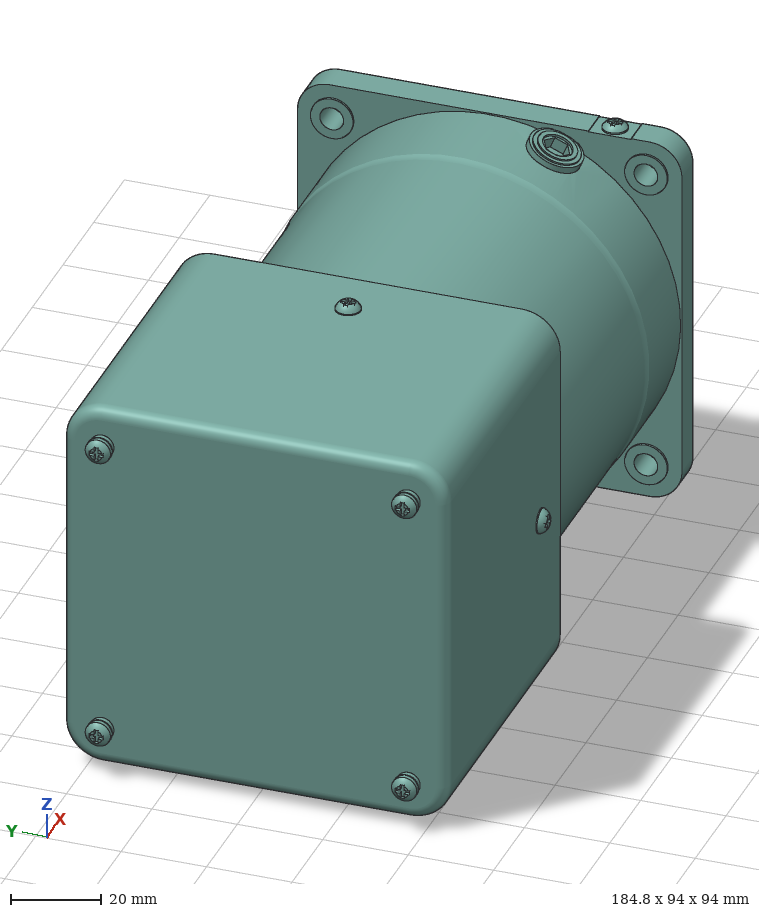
import cadquery as cq
import math

overall_length = 184.8
frame_size = 90.0

box_start = 4.0
box_end = 77.5
box_corner_radius = 9.0
box_edge_radius = 2.8

body_diameter = 88.7
body_end = 134.4
gear_case_diameter = 89.5
gear_case_start = 136.5

flange_start = 156.5
flange_end = 163.8
flange_middle = (flange_start + flange_end) / 2
flange_corner_radius = 7.5
flange_hole_diameter = 5.5
flange_hole_offset = 36.8
spot_boss_diameter = 10.0
spot_boss_height = 0.5
boss_face = flange_start - spot_boss_height

pilot_diameter = 83.0
pilot_end = 165.8
shaft_diameter = 11.5

head_diameter = 6.0
side_head_height = 2.0
low_head_height = 1.7
head_rim_height = 0.4
head_flat_diameter = 3.0
cross_length = 3.3
cross_width = 1.0
cross_depth = 1.0
embed = 1.0

end_screw_offset = 35.9
washer_diameter = 5.5
washer_height = box_start - low_head_height
side_screw_x = 64.5
side_screw_seat = 45.0

terminal_y = -28.1
terminal_width = 10.0
terminal_depth = 0.2

plug_x = 151.0
plug_tilt = 22.5
plug_collar_diameter = 13.0
plug_collar_top = 46.2
plug_rim_diameter = 11.5
plug_rim_top = 46.5
plug_ring_diameter = 9.5
plug_ring_top = 47.0
plug_mouth_diameter = 7.2
plug_mouth_depth = 0.5
plug_socket_diameter = 6.5
plug_socket_depth = 3.3
plug_root = 38.8


def cylinder_x(diameter, start, end):
    return cq.Workplane("YZ", origin=(start, 0, 0)).circle(diameter / 2).extrude(end - start)


def square_block(start, end, corner_radius):
    block = cq.Workplane("YZ", origin=(start, 0, 0)).rect(frame_size, frame_size).extrude(end - start)
    return block.edges("|X").fillet(corner_radius)


def cylinder_z(diameter, bottom, top):
    return cq.Workplane("XY", origin=(0, 0, bottom)).circle(diameter / 2).extrude(top - bottom)


def screw_head(height):
    """Domed head standing on Z = 0 with a cross recess in its flat top."""
    rim_radius = head_diameter / 2
    flat_radius = head_flat_diameter / 2
    dome_centre = (flat_radius**2 + height**2 - rim_radius**2 - head_rim_height**2) / (
        2 * (height - head_rim_height)
    )
    dome_radius = math.hypot(rim_radius, head_rim_height - dome_centre)
    mid_height = (head_rim_height + height) / 2
    mid_radius = math.sqrt(dome_radius**2 - (mid_height - dome_centre) ** 2)
    head = (
        cq.Workplane("XZ")
        .moveTo(0, -embed)
        .lineTo(rim_radius, -embed)
        .lineTo(rim_radius, head_rim_height)
        .threePointArc((mid_radius, mid_height), (flat_radius, height))
        .lineTo(0, height)
        .close()
        .revolve(360, (0, 0, 0), (0, 1, 0))
    )
    for length, width in ((cross_length, cross_width), (cross_width, cross_length)):
        arm = cq.Workplane("XY", origin=(0, 0, height)).rect(length, width).extrude(-cross_depth)
        head = head.cut(arm)
    return head


def rear_box():
    return square_block(box_start, box_end, box_corner_radius).faces("<X").edges().fillet(box_edge_radius)


def motor_body():
    """Motor body that flares over a short cove into the larger gear case."""
    return (
        cq.Workplane("XY")
        .moveTo(box_end - embed, 0)
        .lineTo(box_end - embed, body_diameter / 2)
        .lineTo(body_end, body_diameter / 2)
        .tangentArcPoint((gear_case_start, gear_case_diameter / 2), relative=False)
        .lineTo(flange_start, gear_case_diameter / 2)
        .lineTo(flange_start, 0)
        .close()
        .revolve(360, (0, 0, 0), (1, 0, 0))
    )


def flange_corner_cylinders(diameter, start, end):
    """Four cylinders along X on the mounting-hole pattern."""
    hole_spacing = 2 * flange_hole_offset
    return (
        cq.Workplane("YZ", origin=(start, 0, 0))
        .rect(hole_spacing, hole_spacing, forConstruction=True)
        .vertices()
        .circle(diameter / 2)
        .extrude(end - start)
    )


def front_flange():
    """Square flange with four hole bosses on its back and a shallow earth terminal seat."""
    flange = square_block(flange_start, flange_end, flange_corner_radius)
    bosses = flange_corner_cylinders(spot_boss_diameter, boss_face, flange_start + embed)
    seat = (
        cq.Workplane("XY", origin=(flange_middle, terminal_y, frame_size / 2))
        .rect(flange_end - flange_start, terminal_width)
        .extrude(-terminal_depth)
    )
    return flange.union(bosses).cut(seat)


def mounting_holes():
    return flange_corner_cylinders(flange_hole_diameter, boss_face, flange_end)


def place_plug_piece(piece):
    return piece.rotate((0, 0, 0), (1, 0, 0), plug_tilt).translate((plug_x, 0, 0))


def filler_plug():
    plug = cylinder_z(plug_collar_diameter, plug_root, plug_collar_top)
    plug = plug.union(cylinder_z(plug_rim_diameter, plug_root, plug_rim_top))
    plug = plug.union(cylinder_z(plug_ring_diameter, plug_root, plug_ring_top))
    return place_plug_piece(plug)


def plug_socket():
    """Hexagon socket below a round mouth, with two corners pointing around the case."""
    mouth = cylinder_z(plug_mouth_diameter, plug_ring_top - plug_mouth_depth, plug_ring_top)
    hexagon = (
        cq.Workplane("XY", origin=(0, 0, plug_ring_top))
        .polygon(6, plug_socket_diameter)
        .extrude(-plug_socket_depth)
        .rotate((0, 0, 0), (0, 0, 1), 90)
    )
    return place_plug_piece(mouth.union(hexagon))


def end_screws():
    """Four washered screws on the rear face."""
    screw = cylinder_z(washer_diameter, -embed, washer_height)
    screw = screw.union(screw_head(low_head_height).translate((0, 0, washer_height)))
    screw = screw.rotate((0, 0, 0), (0, 1, 0), -90).translate((box_start, 0, 0))
    screws = cq.Workplane("XY")
    for y in (-end_screw_offset, end_screw_offset):
        for z in (-end_screw_offset, end_screw_offset):
            screws = screws.add(screw.translate((0, y, z)))
    return screws


def side_screws():
    """One screw in the middle of each side of the rear box."""
    screw = screw_head(side_head_height).translate((side_screw_x, 0, side_screw_seat))
    screws = cq.Workplane("XY")
    for angle in (0, 90, 180, 270):
        screws = screws.add(screw.rotate((0, 0, 0), (1, 0, 0), angle))
    return screws


def terminal_screw():
    seat_height = frame_size / 2 - terminal_depth
    return screw_head(low_head_height).translate((flange_middle, terminal_y, seat_height))


result = rear_box().union(motor_body()).union(front_flange()).cut(mounting_holes())
result = result.union(cylinder_x(pilot_diameter, flange_end - embed, pilot_end))
result = result.union(cylinder_x(shaft_diameter, pilot_end - embed, overall_length))
result = result.union(filler_plug()).cut(plug_socket())
for screw in end_screws().vals() + side_screws().vals() + terminal_screw().vals():
    result = result.union(cq.Workplane(screw))